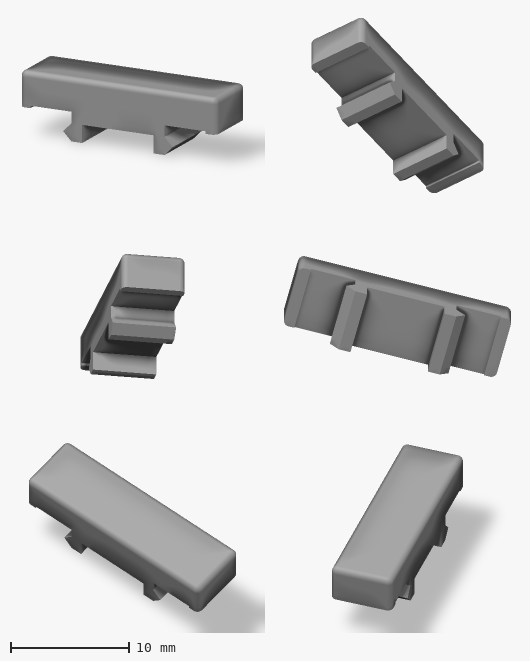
import cadquery as cq

length = 18.6
width = 5.45
height = 5.6

edge_radius = 0.5
cover_depth = 3.2
lip_height = 0.22
lip_length = 1.0

leg_outer_x = 4.4
leg_inner_x = 3.39
barb_tip_x = 5.19
bridge_bottom_z = 1.6
barb_tip_z = bridge_bottom_z / 2

cover_bottom_z = height - cover_depth
recess_z = cover_bottom_z + lip_height


def make_cover():
    """Block rounded on its top and upright edges, relieved between the end lips."""
    block = (
        cq.Workplane("XY")
        .workplane(offset=cover_bottom_z)
        .rect(length, width)
        .extrude(cover_depth)
        .edges("|Z or >Z")
        .fillet(edge_radius)
    )
    relief = (
        cq.Workplane("XY")
        .workplane(offset=cover_bottom_z)
        .rect(length - 2 * lip_length, width)
        .extrude(lip_height)
    )
    return block.cut(relief)


def make_clip():
    """Full-width clip, drawn as a half outline and mirrored about X = 0."""
    half_outline = [
        (0, recess_z),
        (leg_outer_x, recess_z),
        (leg_outer_x, bridge_bottom_z),
        (barb_tip_x, barb_tip_z),
        (leg_outer_x, 0),
        (leg_inner_x, 0),
        (leg_inner_x, bridge_bottom_z),
        (0, bridge_bottom_z),
    ]
    half = cq.Workplane("XZ").polyline(half_outline).close().extrude(width / 2, both=True)
    return half.union(half.mirror("YZ"))


result = make_cover().union(make_clip()).clean()